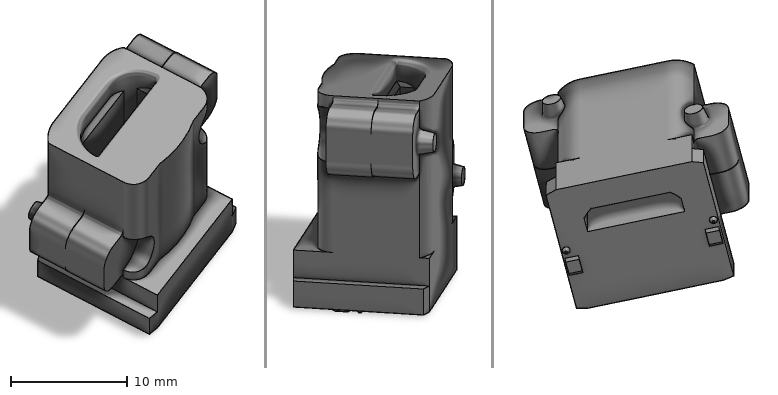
import cadquery as cq
import math


base_length = 11.93
base_height = 4.85
flange_height = 2.35
flange_half_width = 6.95
flange_taper_left = 0.33
flange_taper_right = 0.21

tower_top = 19.01
tower_length = 10.07
half_width = 6.0
side_start = 0.85
side_end = 8.45
crown_reach = 10.45
left_flat_half = 3.92
back_corner_radius = 1.6

seam = 4.5
lug_reach = 9.05
lug_half_height = 2.9
lug_step = 0.08
lug_corner_radius = 1.55
lug_root_radius = 0.46
upper_lug_z = 15.42
lower_lug_z = 8.41

pin_y = 6.27
pin_length = 1.37
pin_tip_radius = 0.81
pin_foot_radius = 1.06
pin_flare = 0.21
relief_radius = 2.43
relief_y = half_width

bore_left = 1.99
bore_right = 5.04
bore_end_radius = 2.9
bore_half_straight = 1.85
bore_corner_radius = 0.14
bore_rim_radius = 0.52
funnel_depth = 1.87
funnel_drop = 0.37
slot_left = 2.49
slot_right = 4.61
slot_half_width = 4.28

rib_y = 6.2
rib_width = 1.2
rib_start = 6.72
rib_length = 1.7
rib_flat = 1.15
rib_height = 0.2
stud_x = 5.98
stud_y = 6.5
stud_height = 0.29
stud_base_radius = 0.35
stud_tip_radius = 0.1

embed = 0.2


def make_base():
    """Upper block plus the wider flange with slanted ends."""
    block = cq.Workplane("XY").box(base_length, 2 * half_width, base_height, centered=(False, True, False))
    left = flange_taper_left
    right = base_length - flange_taper_right
    flange = (
        cq.Workplane("XY")
        .moveTo(0, -half_width)
        .lineTo(left, -flange_half_width)
        .lineTo(right, -flange_half_width)
        .lineTo(base_length, -half_width)
        .lineTo(base_length, half_width)
        .lineTo(right, flange_half_width)
        .lineTo(left, flange_half_width)
        .lineTo(0, half_width)
        .close()
        .extrude(flange_height)
    )
    return block.union(flange)


def make_tower():
    """Rounded column joined with a column whose right face is bowed."""
    corner_run = half_width - left_flat_half
    corner_radius = (side_start ** 2 + corner_run ** 2) / (2 * side_start)
    half_angle = math.asin(corner_run / corner_radius) / 2
    mid_x = corner_radius * (1 - math.cos(half_angle))
    mid_y = left_flat_half + corner_radius * math.sin(half_angle)
    column = (
        cq.Workplane("XY")
        .moveTo(tower_length, -half_width)
        .lineTo(tower_length, half_width)
        .lineTo(side_start, half_width)
        .threePointArc((mid_x, mid_y), (0, left_flat_half))
        .lineTo(0, -left_flat_half)
        .threePointArc((mid_x, -mid_y), (side_start, -half_width))
        .close()
        .extrude(tower_top)
        .edges("|Z and >X")
        .fillet(back_corner_radius)
    )
    bowed = (
        cq.Workplane("XY")
        .moveTo(side_start, -half_width)
        .lineTo(side_end, -half_width)
        .threePointArc((crown_reach, 0), (side_end, half_width))
        .lineTo(side_start, half_width)
        .close()
        .extrude(tower_top)
    )
    return column.union(bowed)


def lug_half(x_start, x_end, half_height):
    """One half of a lug on the +Y side, centred on Z = 0, with root fillets."""
    root = half_width - embed
    flare = half_height + lug_root_radius
    fillet_end = half_width + lug_root_radius
    fillet_offset = lug_root_radius * (1 - math.sqrt(0.5))
    fillet_mid = (half_width + fillet_offset, half_height + fillet_offset)
    corner_offset = lug_corner_radius * (1 - math.sqrt(0.5))
    corner_mid = (lug_reach - corner_offset, half_height - corner_offset)
    return (
        cq.Workplane("YZ", origin=(x_start, 0, 0))
        .moveTo(root, flare)
        .lineTo(half_width, flare)
        .threePointArc(fillet_mid, (fillet_end, half_height))
        .lineTo(lug_reach - lug_corner_radius, half_height)
        .threePointArc(corner_mid, (lug_reach, half_height - lug_corner_radius))
        .lineTo(lug_reach, 0)
        .lineTo(root, 0)
        .close()
        .extrude(x_end - x_start)
    )


def make_pin():
    """Tapered pin on the left face of the +Y lug, pointing to -X."""
    tip_x = side_start - pin_length
    foot_x = side_start - pin_flare
    flare_offset = pin_flare * (1 - math.sqrt(0.5))
    flare_mid = (side_start - flare_offset, pin_foot_radius + flare_offset)
    return (
        cq.Workplane("XY")
        .moveTo(tip_x, 0)
        .lineTo(tip_x, pin_tip_radius)
        .lineTo(foot_x, pin_foot_radius)
        .threePointArc(flare_mid, (side_start, pin_foot_radius + pin_flare))
        .lineTo(side_start + embed, pin_foot_radius + pin_flare)
        .lineTo(side_start + embed, 0)
        .close()
        .revolve(360, (0, 0, 0), (1, 0, 0))
        .translate((0, pin_y, 0))
    )


def make_lug():
    """Complete +Y lug with its pin, centred on Z = 0."""
    upper = lug_half(side_start, seam, lug_half_height)
    upper = upper.union(lug_half(seam, side_end, lug_half_height + lug_step))
    return upper.union(upper.mirror("XY")).union(make_pin())


def make_relief():
    """Cylinder that clears the tower corner beside the +Y lug."""
    return (
        cq.Workplane("YZ", origin=(side_end, relief_y, 0))
        .circle(relief_radius)
        .extrude(crown_reach - side_end + embed)
    )


def on_upper_side(body):
    return body.translate((0, 0, upper_lug_z))


def on_lower_side(body):
    return body.mirror("XZ").translate((0, 0, lower_lug_z))


def make_bore():
    """D-shaped bore that narrows through a funnel into a straight slot."""
    end_x = bore_left + bore_end_radius
    bore_half_width = bore_half_straight + bore_end_radius
    arc_offset = bore_end_radius * math.sqrt(0.5)
    arc_mid_x = end_x - arc_offset
    arc_mid_y = bore_half_straight + arc_offset
    full_bore = (
        cq.Workplane("XY")
        .moveTo(bore_right, -bore_half_width)
        .lineTo(bore_right, bore_half_width)
        .lineTo(end_x, bore_half_width)
        .threePointArc((arc_mid_x, arc_mid_y), (bore_left, bore_half_straight))
        .lineTo(bore_left, -bore_half_straight)
        .threePointArc((arc_mid_x, -arc_mid_y), (end_x, -bore_half_width))
        .close()
        .extrude(tower_top)
        .edges("|Z and >X")
        .fillet(bore_corner_radius)
    )
    slot_length = slot_right - slot_left
    slot_centre = (slot_left + slot_right) / 2
    funnel_top = tower_top - funnel_depth
    funnel_bottom = funnel_top - funnel_drop
    bore_length = bore_right - bore_left
    bore_centre = (bore_left + bore_right) / 2
    slot = (
        cq.Workplane("XY")
        .center(slot_centre, 0)
        .rect(slot_length, 2 * slot_half_width)
        .extrude(funnel_bottom)
    )
    funnel = (
        cq.Workplane("XY", origin=(slot_centre, 0, funnel_bottom))
        .rect(slot_length, 2 * slot_half_width)
        .workplane(offset=funnel_drop)
        .center(bore_centre - slot_centre, 0)
        .rect(bore_length, 2 * bore_half_width)
        .loft(ruled=True)
    )
    mouth = (
        cq.Workplane("XY", origin=(bore_centre, 0, funnel_top))
        .rect(bore_length, 2 * bore_half_width)
        .extrude(funnel_depth)
    )
    return full_bore.intersect(slot.union(funnel).union(mouth))


def round_bore_rim(body):
    """Round the edge where the bore meets the tower top."""
    reach = bore_half_straight + bore_end_radius + embed
    rim = cq.selectors.BoxSelector(
        (bore_left - embed, -reach, tower_top - embed),
        (bore_right + embed, reach, tower_top + embed),
        boundingbox=True,
    )
    return body.edges(rim).fillet(bore_rim_radius)


def make_foot():
    """Crush rib and pointed stud under the +Y flange."""
    slant = (rib_length - rib_flat) / 2
    rib = (
        cq.Workplane("XZ", origin=(rib_start, rib_y + rib_width / 2, 0))
        .moveTo(0, 0)
        .lineTo(slant, -rib_height)
        .lineTo(rib_length - slant, -rib_height)
        .lineTo(rib_length, 0)
        .close()
        .extrude(rib_width)
    )
    stud = cq.Workplane(
        cq.Solid.makeCone(
            stud_base_radius,
            stud_tip_radius,
            stud_height,
            pnt=cq.Vector(stud_x, stud_y, 0),
            dir=cq.Vector(0, 0, -1),
        )
    )
    return rib.union(stud)


lug = make_lug()
relief = make_relief()
foot = make_foot()
bore = make_bore()

tower = make_tower().cut(bore)
tower = round_bore_rim(tower)
tower = tower.cut(on_upper_side(relief)).cut(on_lower_side(relief))

result = make_base().cut(bore).union(tower)
result = result.union(on_upper_side(lug)).union(on_lower_side(lug))
result = result.union(foot).union(foot.mirror("XZ"))